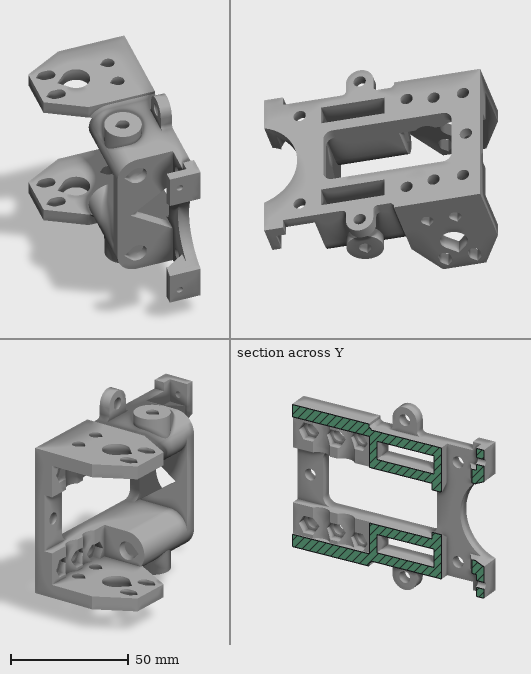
import cadquery as cq
import math


length = 95.0
base_depth = 5.0
bolt_d = 5.4

plate_length = 38.0
plate_inner_z = 27.6
plate_outer_z = 33.6
plate_depth = 47.0
taper_start_depth = 30.0
taper_width = 9.5
plate_bore_x = 19.0
plate_bore_depth = 28.8
plate_bore_d = 12.0
plate_hole_depth = 12.5
plate_hole_xs = (14.2, 26.5)
slot_xs = (12.7, 25.6)
slot_depths = (38.75, 41.0)

tube_end_x = 74.0
tube_axis_z = 22.0
tube_axis_depth = 21.0
tube_radius = 9.0
tube_front_depth = tube_axis_depth + tube_radius
tube_inner_z = tube_axis_z - tube_radius
tube_outer_z = tube_axis_z + tube_radius
rod_d = 8.4
rod_end_wall = 4.0

flare_size = 1.3

boss_x = 56.0
boss_d = 16.0
boss_top_z = 36.0

window_start_x = 12.6
window_corner_radius = 4.0
web_thickness = 5.0
web_start_x = tube_end_x - web_thickness
web_opening_tip_depth = 24.0

pad_depth = 9.0
nut_across_flats = 8.0
nut_floor_depth = 5.0
pad_bolts = ((7.6, 22.0), (20.5, 22.0), (32.4, plate_inner_z - nut_across_flats / 2))
groove_radius = 5.5

middle_hole_x = 6.3
end_hole_x = 79.4
end_hole_z = 23.5

ear_x = 53.0
ear_axis_z = 37.0
ear_radius = 6.0
ear_fillet = 2.0

claw_outer_z = 35.0
claw_start_x = 86.7
lip_start_x = 91.0
lip_depth = 14.0
gusset_start_x = 85.6
gusset_depth = 13.0
gusset_inner_z = 18.0
gusset_outer_z = 24.7
lip_hole_d = 3.0
lip_hole_depth = 9.5
lip_hole_z = 29.0
end_arc_radius = 21.0
end_arc_x = 101.5


def block(x_range, depth_range, z_range):
    """Box between two values on each axis."""
    x0, x1 = x_range
    d0, d1 = depth_range
    z0, z1 = z_range
    return cq.Workplane("XY").box(x1 - x0, d1 - d0, z1 - z0, centered=False).translate((x0, -d1, z0))


def upright_prism(points, z0, z1):
    """Prism along Z from (x, depth) points."""
    outline = [(x, -depth) for x, depth in points]
    return cq.Workplane("XY").workplane(offset=z0).polyline(outline).close().extrude(z1 - z0)


def cross_bore(x, z, diameter=bolt_d, end=plate_depth):
    """Cylinder along Y from the back face to the end depth."""
    return cq.Workplane("XZ", origin=(x, 0, z)).circle(diameter / 2).extrude(end)


def teardrop(workplane, diameter, height, tip_angle):
    """Round cutter with a square tip; tip_angle is in degrees from the workplane's X direction."""
    radius = diameter / 2
    rotated = workplane.transformed(rotate=(0, 0, tip_angle))
    tangent = radius / math.sqrt(2)
    outline = rotated.moveTo(tangent, tangent).threePointArc((-radius, 0), (tangent, -tangent))
    return outline.lineTo(radius * math.sqrt(2), 0).close().extrude(height)


def upright_teardrop(x, depth, diameter, z0, z1):
    """Teardrop cutter along Z with its tip toward the front."""
    return teardrop(cq.Workplane("XY", origin=(x, -depth, z0)), diameter, z1 - z0, tip_angle=-90)


def mirrored(shape):
    """The shape together with its mirror image about Z = 0."""
    return shape.union(shape.mirror("XY"))


def side_plate():
    """Upper motor plate with tapered front, bearing bore, round holes and slots."""
    outline = [
        (0, 0),
        (plate_length, 0),
        (plate_length, taper_start_depth),
        (plate_length - taper_width, plate_depth),
        (taper_width, plate_depth),
        (0, taper_start_depth),
    ]
    plate = upright_prism(outline, plate_inner_z, plate_outer_z)
    cutters = [upright_teardrop(plate_bore_x, plate_bore_depth, plate_bore_d, plate_inner_z, plate_outer_z)]
    for x in plate_hole_xs:
        cutters.append(upright_teardrop(x, plate_hole_depth, bolt_d, plate_inner_z, plate_outer_z))
    for x in slot_xs:
        for depth in slot_depths:
            cutters.append(upright_teardrop(x, depth, bolt_d, plate_inner_z, plate_outer_z))
        half = bolt_d / 2
        cutters.append(block((x - half, x + half), slot_depths, (plate_inner_z, plate_outer_z)))
    for cutter in cutters:
        plate = plate.cut(cutter)
    return plate


def nut_pad():
    """Thick strip beside the plate, with grooves in line with the plate holes."""
    pad = block((0, plate_length), (0, pad_depth), (tube_inner_z, plate_inner_z))
    for x in plate_hole_xs:
        groove = cq.Workplane("XY", origin=(x, -plate_hole_depth, tube_inner_z))
        pad = pad.cut(groove.circle(groove_radius).extrude(plate_inner_z - tube_inner_z))
    return pad


def nut_trap(x, z):
    """Hexagonal cutter from the trap floor to the pad face, corners pointing along X."""
    across_corners = nut_across_flats / math.cos(math.pi / 6)
    trap = cq.Workplane("XZ", origin=(x, -nut_floor_depth, z))
    return trap.polygon(6, across_corners).extrude(pad_depth - nut_floor_depth)


def rod_tube():
    """Tube body standing on the base, rounded at the front."""
    tube = block((plate_length, tube_end_x), (0, tube_axis_depth), (tube_inner_z, tube_outer_z))
    nose = cq.Workplane("YZ", origin=(plate_length, -tube_axis_depth, tube_axis_z))
    return tube.union(nose.circle(tube_radius).extrude(tube_end_x - plate_length))


def plate_flare():
    """45 degree chamfer that widens the outer half of the tube where it meets the plate."""
    end_x = plate_length + flare_size
    flat_outline = [
        (plate_length, plate_inner_z),
        (end_x, plate_inner_z),
        (end_x, tube_outer_z),
        (plate_length, tube_outer_z + flare_size),
    ]
    flare = cq.Workplane("XZ").polyline(flat_outline).close().extrude(tube_axis_depth)
    cone = cq.Solid.makeCone(
        tube_radius + flare_size,
        tube_radius,
        flare_size,
        pnt=cq.Vector(plate_length, -tube_axis_depth, tube_axis_z),
        dir=cq.Vector(1, 0, 0),
    )
    outer_half = block(
        (plate_length, end_x), (tube_axis_depth, plate_depth), (plate_inner_z, plate_outer_z)
    )
    return flare.union(outer_half.intersect(cq.Workplane(cone)))


def rod_slot():
    """Slot as wide as the rod that opens the bore to the back between its two end walls."""
    half = rod_d / 2
    return block(
        (plate_length + rod_end_wall, tube_end_x - rod_end_wall),
        (0, tube_axis_depth),
        (tube_axis_z - half, tube_axis_z + half),
    )


def clamp_boss():
    """Round boss on the outer side of the tube."""
    boss = cq.Workplane("XY", origin=(boss_x, -tube_axis_depth, tube_axis_z))
    return boss.circle(boss_d / 2).extrude(boss_top_z - tube_axis_z)


def mounting_ear():
    """Rounded ear whose foot is filleted into the base edge."""
    half_foot = ear_radius + ear_fillet
    foot_top_z = tube_outer_z + ear_fillet
    ear = cross_bore(ear_x, ear_axis_z, 2 * ear_radius, end=base_depth)
    ear = ear.union(
        block((ear_x - ear_radius, ear_x + ear_radius), (0, base_depth), (tube_inner_z, ear_axis_z))
    )
    foot = block((ear_x - half_foot, ear_x + half_foot), (0, base_depth), (tube_outer_z, foot_top_z))
    for x in (ear_x - half_foot, ear_x + half_foot):
        foot = foot.cut(cross_bore(x, foot_top_z, 2 * ear_fillet))
    return ear.union(foot)


def claw():
    """Hooked end of the base: foot, drilled lip and sloped gusset."""
    foot = block((claw_start_x, length), (0, base_depth), (0, claw_outer_z))
    lip = block((lip_start_x, length), (0, lip_depth), (0, claw_outer_z))
    gusset_outline = [
        (gusset_start_x, base_depth),
        (lip_start_x, base_depth),
        (lip_start_x, gusset_depth),
    ]
    gusset = upright_prism(gusset_outline, gusset_inner_z, gusset_outer_z)
    hole = cq.Workplane("YZ", origin=(lip_start_x, -lip_hole_depth, lip_hole_z))
    lip = lip.cut(hole.circle(lip_hole_d / 2).extrude(length - lip_start_x))
    return foot.union(lip).union(gusset)


def web():
    """Plate joining the two tube ends, with a triangular opening."""
    plate = block((web_start_x, tube_end_x), (0, tube_front_depth), (-tube_axis_z, tube_axis_z))
    opening = cq.Workplane("YZ", origin=(web_start_x, 0, 0)).polyline([
        (-base_depth, tube_inner_z),
        (-base_depth, -tube_inner_z),
        (-web_opening_tip_depth, 0),
    ])
    return plate.cut(opening.close().extrude(web_thickness))


def window():
    """Rounded opening in the base between the tubes."""
    cutter = block((window_start_x, web_start_x), (0, base_depth), (-tube_inner_z, tube_inner_z))
    return cutter.edges("|Y").fillet(window_corner_radius)


body = block((0, plate_length), (0, base_depth), (-plate_outer_z, plate_outer_z))
body = body.union(block((plate_length, length), (0, base_depth), (-tube_outer_z, tube_outer_z)))
body = body.cut(window())
for feature in (side_plate, nut_pad, rod_tube, plate_flare, clamp_boss, mounting_ear, claw):
    body = body.union(mirrored(feature()))
body = body.union(web())

rod_plane = cq.Workplane("YZ", origin=(plate_length, -tube_axis_depth, tube_axis_z))
body = body.cut(mirrored(teardrop(rod_plane, rod_d, tube_end_x - plate_length, tip_angle=180)))
body = body.cut(mirrored(upright_teardrop(boss_x, tube_axis_depth, bolt_d, tube_axis_z, boss_top_z)))
body = body.cut(mirrored(rod_slot()))

for x, z in pad_bolts:
    body = body.cut(mirrored(nut_trap(x, z)))
body = body.cut(cross_bore(middle_hole_x, 0))
for x, z in pad_bolts + ((end_hole_x, end_hole_z), (ear_x, ear_axis_z)):
    body = body.cut(mirrored(cross_bore(x, z, end=pad_depth)))

result = body.cut(cross_bore(end_arc_x, 0, 2 * end_arc_radius))